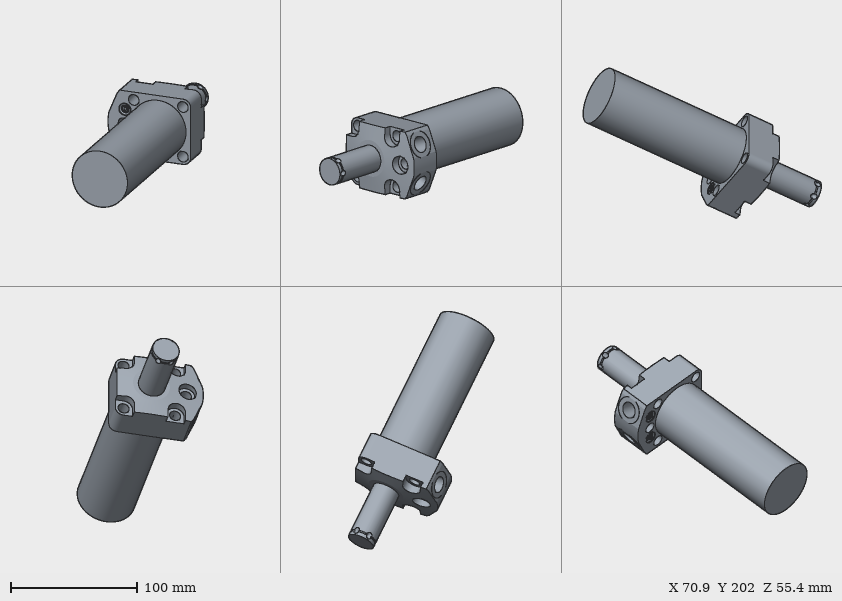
import cadquery as cq
import math


clearance = 1.0

half_width = 27.685
nose_radius = 43.17
block_height = 30.5
corner_radius = 6.6
crown_flat_radius = 15.0
crown_angle = 8.0

barrel_diameter = 47.4
barrel_length = 123.3
total_length = 202.03
rod_diameter = 22.0
rod_tip = total_length - barrel_length

tip_chamfer_length = 1.2
tip_chamfer_inset = 0.15
groove_offset = 3.8
groove_radius = 0.6
dimple_count = 6
dimple_diameter = 5.4
dimple_depth = 2.6

bolt_offset = 21.0
bolt_diameter = 9.0
seat_height = 22.4
seat_radius = 7.3

port_angle = 22.5
port_height = 14.6
flat_distance = 42.16
spotface_distance = 41.95
spotface_diameter = 21.8
port_diameter = 13.0
port_depth = 16.2

nose_hole_x = -29.8
nose_hole_diameter = 9.0
screw_x = -28.8
screw_z = 11.9
screw_recess_radius = 5.0
screw_ring_radius = 0.8
screw_ring_sink = 0.1
screw_gap_depth = 1.6
screw_head_radius = 2.9
screw_head_depth = 0.8
screw_socket_radius = 2.4
screw_socket_depth = 1.2
screw_pilot_radius = 1.2
screw_pilot_depth = 1.6


def cylinder_y(radius, start, end, x=0.0, z=0.0):
    """Cylinder along +Y from start to end."""
    axis = cq.Vector(0, 1, 0)
    return cq.Workplane(obj=cq.Solid.makeCylinder(radius, end - start, cq.Vector(x, start, z), axis))


def box_between(low, high):
    """Axis-aligned box between two opposite corners."""
    size = [b - a for a, b in zip(low, high)]
    return cq.Workplane("XY").box(*size, centered=False).translate(low)


def make_block():
    """Squared block with a round nose, two rounded corners and a conical crown."""
    block = box_between((-nose_radius, 0, -half_width), (half_width, block_height, half_width))
    block = block.edges("|Y and >X").fillet(corner_radius)
    crown_drop = (nose_radius - crown_flat_radius) * math.tan(math.radians(crown_angle))
    crown = (
        cq.Workplane("XY")
        .moveTo(0, 0)
        .lineTo(nose_radius, 0)
        .lineTo(nose_radius, block_height - crown_drop)
        .lineTo(crown_flat_radius, block_height)
        .lineTo(0, block_height)
        .close()
        .revolve(360, (0, 0, 0), (0, 1, 0))
    )
    return block.intersect(crown)


def port_cut(side):
    """Slanted flat, spotface and blind port on one side of the nose (side = +1 or -1)."""
    flat = box_between(
        (-2 * nose_radius, -clearance, -half_width / 2),
        (-flat_distance, block_height + clearance, half_width / 2),
    )
    axis = cq.Vector(1, 0, 0)
    reach = nose_radius - spotface_distance + clearance
    spotface = cq.Solid.makeCylinder(
        spotface_diameter / 2, reach, cq.Vector(-spotface_distance - reach, port_height, 0), axis
    )
    bore = cq.Solid.makeCylinder(
        port_diameter / 2, port_depth, cq.Vector(-spotface_distance, port_height, 0), axis
    )
    cut = flat.union(cq.Workplane(obj=spotface)).union(cq.Workplane(obj=bore))
    return cut.rotate((0, 0, 0), (0, 1, 0), side * port_angle)


def bolt_cut(side_x, side_z):
    """Through hole with a round-ended seat open to the Z side, and to +X on that side."""
    x = side_x * bolt_offset
    z = side_z * bolt_offset
    top = block_height + clearance
    outside = 2 * half_width
    cut = cylinder_y(bolt_diameter / 2, -clearance, top, x, z)
    cut = cut.union(cylinder_y(seat_radius, seat_height, top, x, z))
    z_low, z_high = sorted((z, side_z * outside))
    right = x + seat_radius
    cut = cut.union(box_between((x - seat_radius, seat_height, z_low), (right, top, z_high)))
    if side_x > 0:
        z_low, z_high = sorted((z - side_z * seat_radius, side_z * outside))
        cut = cut.union(box_between((x, seat_height, z_low), (outside, top, z_high)))
    return cut


def nose_hole_cut():
    """Through hole on the nose centreline with a round seat in the crown."""
    top = block_height + clearance
    hole = cylinder_y(nose_hole_diameter / 2, -clearance, top, nose_hole_x)
    return hole.union(cylinder_y(seat_radius, seat_height, top, nose_hole_x))


def screw_cut(side):
    """Recess around a round-topped ring and a screw head with a stepped round socket."""
    ring_crest = screw_recess_radius - screw_ring_radius
    ring_root = screw_ring_sink + screw_ring_radius
    ring_inside = ring_crest - screw_ring_radius
    profile = (
        cq.Workplane("XY")
        .moveTo(0, 0)
        .lineTo(screw_recess_radius, 0)
        .lineTo(screw_recess_radius, ring_root)
        .threePointArc((ring_crest, screw_ring_sink), (ring_inside, ring_root))
        .lineTo(ring_inside, screw_gap_depth)
        .lineTo(screw_head_radius, screw_gap_depth)
        .lineTo(screw_head_radius, screw_head_depth)
        .lineTo(screw_socket_radius, screw_head_depth)
        .lineTo(screw_socket_radius, screw_socket_depth)
        .lineTo(screw_pilot_radius, screw_socket_depth)
        .lineTo(screw_pilot_radius, screw_pilot_depth)
        .lineTo(0, screw_pilot_depth)
        .close()
    )
    return profile.revolve(360, (0, 0, 0), (0, 1, 0)).translate((screw_x, 0, side * screw_z))


def make_rod():
    """Piston rod with a chamfered tip, a ring groove and conical dimples around the groove."""
    radius = rod_diameter / 2
    groove_y = rod_tip - groove_offset
    profile = (
        cq.Workplane("XY")
        .moveTo(0, 0)
        .lineTo(radius, 0)
        .lineTo(radius, groove_y - groove_radius)
        .threePointArc((radius - groove_radius, groove_y), (radius, groove_y + groove_radius))
        .lineTo(radius, rod_tip - tip_chamfer_length)
        .lineTo(radius - tip_chamfer_inset, rod_tip)
        .lineTo(0, rod_tip)
        .close()
    )
    rod = profile.revolve(360, (0, 0, 0), (0, 1, 0))
    for index in range(dimple_count):
        angle = math.radians((index + 0.5) * 360 / dimple_count)
        outward = cq.Vector(math.sin(angle), 0, math.cos(angle))
        tip = cq.Vector(0, groove_y, 0) + outward * (radius - dimple_depth)
        dimple = cq.Solid.makeCone(0, dimple_diameter, 2 * dimple_depth, tip, outward)
        rod = rod.cut(cq.Workplane(obj=dimple))
    return rod


body = make_block()
for side in (-1, 1):
    body = body.cut(port_cut(side))
    body = body.cut(screw_cut(side))
    for side_x in (-1, 1):
        body = body.cut(bolt_cut(side_x, side))
body = body.cut(nose_hole_cut())

barrel = cylinder_y(barrel_diameter / 2, -barrel_length, 0)
result = body.union(barrel).union(make_rod())